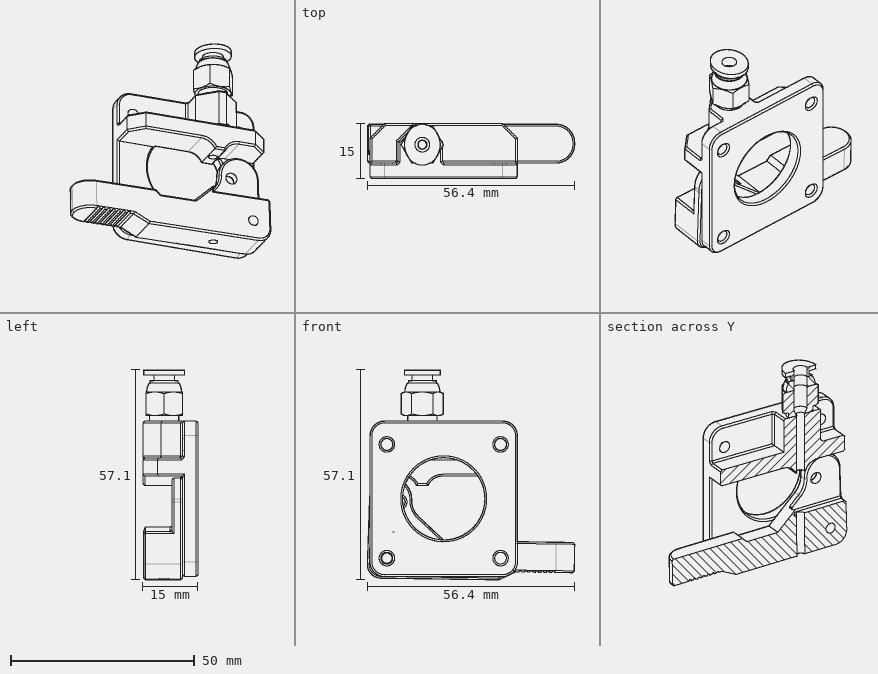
import cadquery as cq
import math


EDGE = 0.5

PLATE_WIDTH = 40.1
PLATE_HEIGHT = 42.35
PLATE_THICK = 4.2
PLATE_CORNER = 4.0
PLATE_BORE = 22.35
SCREW_PITCH = 30.9
SCREW_CENTER_Z = -0.7
SCREW_HOLE = 3.2

HOUSING_DEPTH = 15.0
LEDGE_TOP = 11.1
LEDGE_BOTTOM = 6.15
LEDGE_CORNER = 4.0
NOSE_BOTTOM = 3.6
NOSE_WIDTH = 3.1
NOSE_RADIUS = 4.35
POST_LEFT = -12.4
POST_RIGHT = -0.35
POST_CORNER = 4.95
FILAMENT_X = -5.8
FILAMENT_Y = 9.25
FILAMENT_BORE = 2.4

LEVER_TILT = 0.8
LEVER_THICK = 10.6
ARM_THICK = 2.9
ARM_RADIUS = 5.75
ARM_X = -30.1
ARM_Z = 15.65
ARM_SHOULDER = 0.85
HEEL_X = -36.3
HEEL_RADIUS = 3.75
LEVER_BOTTOM = -5.95
HANDLE_BOTTOM = -3.7
HANDLE_TOP = 4.55
HANDLE_END = 20.15
HANDLE_END_RADIUS = 5.1
SADDLE_Z = 3.2
SADDLE_START = -13.9
SADDLE_END = -3.95
RISE_START = -0.4
RISE_LENGTH = 4.5
SLOPE_ANGLE = 42.5
NECK_RADIUS = 6.0
FLOOR_Z = 6.705
FLOOR_END = -19.45
BEARING_X = -27.8
BEARING_Z = 14.9
BEARING_HOLE = 3.2
ACCESS_HOLE = 2.8
GRIP_START = 5.5
GRIP_PITCH = 1.5
GRIP_COUNT = 10
GRIP_RADIUS = 0.4

TUBE_BORE = 4.0
NECK_DIAMETER = 8.05
HEX_BOTTOM = 22.6
HEX_TOP = 29.1
HEX_FLATS = 10.0
HEX_CHAMFER_RADIUS = 4.9
HEX_CHAMFER_ANGLE = 30
DOME_DIAMETER = 9.6
DOME_TOP = 31.5
DOME_TOP_DIAMETER = 8.1
RIM_DIAMETER = 7.6
RIM_TOP = 32.1
STEM_DIAMETER = 5.65
FLANGE_BOTTOM = 33.6
FLANGE_TOP = 35.0
FLANGE_WIDTH = 9.8
FLANGE_DEPTH = 11.1

PLATE_TOP = PLATE_HEIGHT / 2
PLATE_SIDE = PLATE_WIDTH / 2
PIVOT_X = SCREW_PITCH / 2
PIVOT_Z = SCREW_CENTER_Z - SCREW_PITCH / 2


def front_plane(y):
    """Sketch plane at depth y with X right and Z up; it extrudes toward the mounting face."""
    return cq.Workplane("XZ", origin=(0, y, 0))


def bore_y(diameter, x, z, depth):
    """Cylinder along Y from the plane y = 0."""
    return front_plane(0).center(x, z).circle(diameter / 2).extrude(-depth)


def countersink_y(diameter, x, z):
    """Cone that chamfers the front rim of a hole in the plane y = 0."""
    mouth = diameter / 2
    cone = cq.Solid.makeCone(mouth + EDGE, mouth, EDGE, cq.Vector(x, 0, z), cq.Vector(0, 1, 0))
    return cq.Workplane(cone)



def plate():
    body = front_plane(0).rect(PLATE_WIDTH, PLATE_HEIGHT).extrude(-PLATE_THICK)
    body = body.edges("|Y").fillet(PLATE_CORNER)
    body = body.cut(bore_y(PLATE_BORE, 0, 0, PLATE_THICK))
    return body.faces("<Y or >Y").edges().chamfer(EDGE)


def guide_bar(front, rear):
    """Full-width bar between two depths, with a rounded nose below the filament."""
    nose_left = FILAMENT_X - NOSE_WIDTH / 2
    nose_right = FILAMENT_X + NOSE_WIDTH / 2
    arc_center_z = LEDGE_BOTTOM - NOSE_RADIUS
    low_angle = math.asin((NOSE_BOTTOM - arc_center_z) / NOSE_RADIUS)
    middle_angle = (math.pi / 2 + low_angle) / 2
    reach = NOSE_RADIUS * math.cos(low_angle)
    middle_reach = reach - NOSE_RADIUS * math.cos(middle_angle)
    middle_z = arc_center_z + NOSE_RADIUS * math.sin(middle_angle)
    return (
        front_plane(front)
        .moveTo(-PLATE_SIDE, LEDGE_TOP)
        .lineTo(-PLATE_SIDE, LEDGE_BOTTOM)
        .lineTo(nose_left - reach, LEDGE_BOTTOM)
        .threePointArc((nose_left - middle_reach, middle_z), (nose_left, NOSE_BOTTOM))
        .lineTo(nose_right, NOSE_BOTTOM)
        .threePointArc((nose_right + middle_reach, middle_z), (nose_right + reach, LEDGE_BOTTOM))
        .lineTo(PLATE_SIDE, LEDGE_BOTTOM)
        .lineTo(PLATE_SIDE, LEDGE_TOP)
        .close()
        .extrude(front - rear)
    )


def ledge():
    body = guide_bar(PLATE_THICK, HOUSING_DEPTH)
    body = body.edges("|Z and >Y").chamfer(LEDGE_CORNER)
    rims = body.edges("not |Z").filter(lambda edge: not is_nose_crease(edge))
    body = rims.chamfer(EDGE)
    strip = guide_bar(PLATE_THICK - EDGE, PLATE_THICK + EDGE).edges("|Y and (<X or >X)").chamfer(EDGE)
    return body.union(strip.cut(bore_y(PLATE_BORE, 0, 0, HOUSING_DEPTH)))


def is_nose_crease(edge):
    along_y = edge.BoundingBox().ylen > EDGE
    return along_y and abs(edge.Center().x - FILAMENT_X) < NOSE_WIDTH + NOSE_RADIUS


def post_outline():
    """Plan of the post, flared where it meets the plate."""
    flare = 2 * EDGE
    front = PLATE_THICK - EDGE
    shoulder = HOUSING_DEPTH - POST_CORNER
    return cq.Workplane("XY", origin=(0, 0, LEDGE_TOP)).polyline([
        (POST_LEFT - flare, front),
        (POST_LEFT, front + flare),
        (POST_LEFT, shoulder),
        (POST_LEFT + POST_CORNER, HOUSING_DEPTH),
        (POST_RIGHT - POST_CORNER, HOUSING_DEPTH),
        (POST_RIGHT, shoulder),
        (POST_RIGHT, front + flare),
        (POST_RIGHT + flare, front),
    ]).close()


def post():
    body = post_outline().extrude(PLATE_TOP - LEDGE_TOP)
    body = body.faces(">Z").edges("not <Y").chamfer(EDGE)
    foot = post_outline().offset2D(EDGE, "intersection").extrude(EDGE, taper=45)
    left_side = cq.Workplane().box(
        POST_CORNER + 2 * EDGE, HOUSING_DEPTH, PLATE_HEIGHT, centered=(False, False, True)
    ).translate((POST_LEFT - 2 * EDGE, 0, 0))
    return body.union(foot.intersect(left_side))


def ledge_fillet():
    """Sloped inside corner between the ledge top and the plate, bevelled at both ends."""
    wedge = (
        cq.Workplane("YZ", origin=(-PLATE_SIDE, 0, 0))
        .moveTo(PLATE_THICK - EDGE, LEDGE_TOP - EDGE)
        .lineTo(PLATE_THICK - EDGE, LEDGE_TOP + 2 * EDGE)
        .lineTo(PLATE_THICK + 2 * EDGE, LEDGE_TOP - EDGE)
        .close()
        .extrude(PLATE_WIDTH)
    )
    return wedge.faces("<X or >X").edges("not (|Y or |Z)").chamfer(EDGE)


def make_housing():
    body = plate().union(ledge()).union(post()).union(ledge_fillet())
    for x in (-SCREW_PITCH / 2, SCREW_PITCH / 2):
        for z in (PIVOT_Z, PIVOT_Z + SCREW_PITCH):
            body = body.cut(bore_y(SCREW_HOLE, x, z, PLATE_THICK))
            body = body.cut(countersink_y(SCREW_HOLE, x, z))
    filament = cq.Workplane().center(FILAMENT_X, FILAMENT_Y).circle(FILAMENT_BORE / 2).extrude(PLATE_HEIGHT)
    return body.cut(filament)



def lever_outline():
    arm_right = ARM_X + ARM_RADIUS
    slope = math.radians(SLOPE_ANGLE)
    neck_x = arm_right + NECK_RADIUS * (1 - math.sin(slope))
    neck_z = SADDLE_Z + (SADDLE_START - neck_x) * math.tan(slope)
    neck_top = neck_z + NECK_RADIUS * math.cos(slope)
    handle_start = SADDLE_END + HANDLE_TOP - SADDLE_Z
    return (
        front_plane(0)
        .moveTo(HEEL_X, LEVER_BOTTOM)
        .lineTo(RISE_START, LEVER_BOTTOM)
        .lineTo(RISE_START + RISE_LENGTH, HANDLE_BOTTOM)
        .lineTo(HANDLE_END, HANDLE_BOTTOM)
        .lineTo(HANDLE_END, HANDLE_TOP)
        .lineTo(handle_start, HANDLE_TOP)
        .lineTo(SADDLE_END, SADDLE_Z)
        .lineTo(SADDLE_START, SADDLE_Z)
        .lineTo(neck_x, neck_z)
        .tangentArcPoint((arm_right, neck_top), relative=False)
        .lineTo(arm_right, ARM_Z)
        .threePointArc((ARM_X, ARM_Z + ARM_RADIUS), (ARM_X - ARM_RADIUS, ARM_Z))
        .lineTo(ARM_X - ARM_RADIUS, ARM_Z - ARM_SHOULDER)
        .close()
    )


def lever_blank(thickness):
    return lever_outline().extrude(-thickness).edges("|Y and <X and <Z").fillet(HEEL_RADIUS)


def thin_arm():
    """Full-height sheet left of the saddle; it shows only above the floor."""
    sheet = lever_blank(ARM_THICK).faces("<Y or >Y").edges().chamfer(EDGE)
    length = HANDLE_END - SADDLE_START
    handle_side = front_plane(0).center(SADDLE_START + length / 2, 0).rect(length, length)
    return sheet.cut(handle_side.extrude(-ARM_THICK))


def above_floor():
    """Space over the floor, cut through the whole thickness."""
    above = ARM_Z + 2 * ARM_RADIUS
    beside = HEEL_X - ARM_RADIUS
    return (
        front_plane(0)
        .moveTo(beside, FLOOR_Z)
        .lineTo(FLOOR_END, FLOOR_Z)
        .lineTo(FLOOR_END, above)
        .lineTo(beside, above)
        .close()
        .extrude(-LEVER_THICK)
    )


def lever_block():
    block = lever_blank(LEVER_THICK).cut(above_floor())
    floor_corner = cq.selectors.NearestToPointSelector((HEEL_X, LEVER_THICK / 2, FLOOR_Z))
    block = block.edges("|Y").edges(floor_corner).chamfer(EDGE)
    block = block.edges("|Z and >X").fillet(HANDLE_END_RADIUS)
    return block.faces("<Y or >Y").edges().chamfer(EDGE)


def arm_foot():
    """Sloped inside corners between the thin arm and the floor and wall of the block."""
    start = HEEL_X + EDGE
    along_floor = (
        cq.Workplane("YZ", origin=(start, 0, 0))
        .moveTo(ARM_THICK, FLOOR_Z)
        .lineTo(ARM_THICK, FLOOR_Z + EDGE)
        .lineTo(ARM_THICK + EDGE, FLOOR_Z)
        .close()
        .extrude(FLOOR_END - start)
    )
    wall_height = (SADDLE_START - FLOOR_END) * math.tan(math.radians(SLOPE_ANGLE)) + SADDLE_Z - FLOOR_Z
    along_wall = (
        cq.Workplane("XY", origin=(0, 0, FLOOR_Z))
        .moveTo(FLOOR_END, ARM_THICK)
        .lineTo(FLOOR_END - EDGE, ARM_THICK)
        .lineTo(FLOOR_END, ARM_THICK + EDGE)
        .close()
        .extrude(wall_height)
    )
    return along_floor.union(along_wall)


def make_lever():
    body = lever_block().union(thin_arm()).union(arm_foot())
    grooves = (
        front_plane(0)
        .pushPoints([(GRIP_START + i * GRIP_PITCH, HANDLE_BOTTOM) for i in range(GRIP_COUNT)])
        .circle(GRIP_RADIUS)
        .extrude(-LEVER_THICK)
    )
    body = body.cut(grooves)
    body = body.cut(bore_y(BEARING_HOLE, BEARING_X, BEARING_Z, LEVER_THICK))
    body = body.cut(countersink_y(BEARING_HOLE, BEARING_X, BEARING_Z))
    access_z = -SCREW_PITCH * math.sin(math.radians(LEVER_TILT))
    body = body.cut(bore_y(ACCESS_HOLE, -SCREW_PITCH, access_z, LEVER_THICK))
    filament = (
        cq.Workplane("XY", origin=(FILAMENT_X - PIVOT_X, FILAMENT_Y - PLATE_THICK, LEVER_BOTTOM))
        .circle(FILAMENT_BORE / 2)
        .extrude(ARM_Z - LEVER_BOTTOM)
    )
    body = body.cut(filament)
    body = body.rotate((0, 0, 0), (0, 1, 0), LEVER_TILT)
    return body.translate((PIVOT_X, PLATE_THICK, PIVOT_Z))



def at_filament(z):
    return cq.Workplane("XY", origin=(FILAMENT_X, FILAMENT_Y, z))


def tube_passage():
    return at_filament(HEX_BOTTOM).circle(TUBE_BORE / 2).extrude(FLANGE_TOP - HEX_BOTTOM)


def make_fitting_body():
    """Hexagon with chamfered ends on a round neck; the bore narrows in the neck."""
    corners = HEX_FLATS / math.cos(math.pi / 6)
    height = HEX_TOP - HEX_BOTTOM
    hexagon = at_filament(HEX_BOTTOM).polygon(6, corners).extrude(height)
    swell = (corners / 2 - HEX_CHAMFER_RADIUS) * 2
    drop = swell * math.tan(math.radians(HEX_CHAMFER_ANGLE))
    envelope = (
        cq.Workplane("XZ")
        .polyline([
            (0, 0),
            (HEX_CHAMFER_RADIUS, 0),
            (HEX_CHAMFER_RADIUS + swell, drop),
            (HEX_CHAMFER_RADIUS + swell, height - drop),
            (HEX_CHAMFER_RADIUS, height),
            (0, height),
        ])
        .close()
        .revolve(360, (0, 0), (0, 1))
        .translate((FILAMENT_X, FILAMENT_Y, HEX_BOTTOM))
    )
    neck = at_filament(PLATE_TOP).circle(NECK_DIAMETER / 2).extrude(HEX_BOTTOM - PLATE_TOP)
    narrowing = cq.Solid.makeCone(
        FILAMENT_BORE / 2, TUBE_BORE / 2, HEX_BOTTOM - PLATE_TOP, cq.Vector(FILAMENT_X, FILAMENT_Y, PLATE_TOP)
    )
    return hexagon.intersect(envelope).union(neck).cut(tube_passage()).cut(cq.Workplane(narrowing))


def make_cap():
    """Domed cap with a low rim on top of the hexagon."""
    inset = (DOME_DIAMETER - DOME_TOP_DIAMETER) / 2
    rise = DOME_TOP - HEX_TOP
    arc_radius = (inset**2 + rise**2) / (2 * inset)
    half_angle = math.asin(rise / arc_radius) / 2
    bulge_x = DOME_DIAMETER / 2 - arc_radius * (1 - math.cos(half_angle))
    bulge_z = HEX_TOP + arc_radius * math.sin(half_angle)
    dome = (
        cq.Workplane("XZ")
        .moveTo(0, HEX_TOP)
        .lineTo(DOME_DIAMETER / 2, HEX_TOP)
        .threePointArc((bulge_x, bulge_z), (DOME_TOP_DIAMETER / 2, DOME_TOP))
        .lineTo(RIM_DIAMETER / 2, DOME_TOP)
        .lineTo(RIM_DIAMETER / 2, RIM_TOP)
        .lineTo(0, RIM_TOP)
        .close()
        .revolve(360, (0, 0), (0, 1))
        .translate((FILAMENT_X, FILAMENT_Y, 0))
    )
    return dome.cut(tube_passage())


def make_collet():
    """Release collet: a round stem under an oval flange."""
    stem = at_filament(RIM_TOP).circle(STEM_DIAMETER / 2).extrude(FLANGE_BOTTOM - RIM_TOP)
    flange = at_filament(FLANGE_BOTTOM).ellipse(FLANGE_WIDTH / 2, FLANGE_DEPTH / 2)
    return stem.union(flange.extrude(FLANGE_TOP - FLANGE_BOTTOM)).cut(tube_passage())


housing = make_housing()
lever = make_lever()
fitting_body = make_fitting_body()
cap = make_cap()
collet = make_collet()
result = cq.Compound.makeCompound(
    [housing.val(), lever.val(), fitting_body.val(), cap.val(), collet.val()]
)